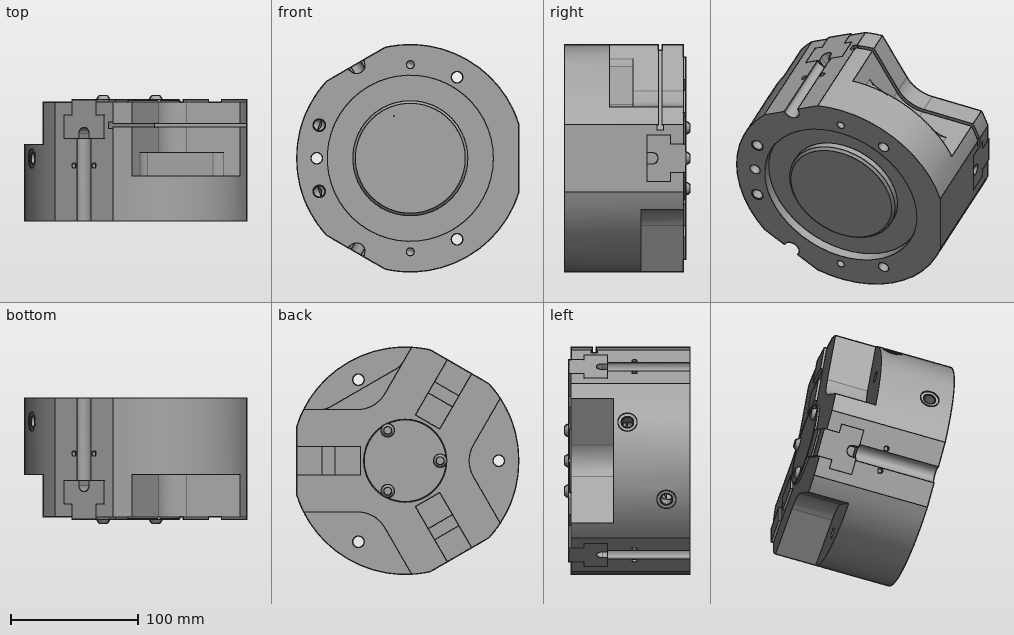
import cadquery as cq
import math


body_radius = 89.0
body_length = 93.0
flat_distance = 85.0
jaw_angles = (0, 120, 240)

arm_half_width = 40.0
notch_half_angle = 60.0
notch_root_radius = 25.0
notch_floor = 60.0
plain_notch_angles = (180, 300)
deep_notch_angle = 60
deep_notch_step = 53.5
pocket_floor = 35.3
pocket_wall_distance = 65.75
pocket_corner_radius = 16.0

slot_centre = 75.0
slot_width = 3.0
slot_wide_width = 4.8
slot_bottom_offset = 22.0
slot_wide_depth = 4.0

recess_radius = 65.0
recess_depth = 8.0
boss_radius = 45.0
boss_chamfer = 2.0
boss_setback = 1.0

drill_point_angle = 118.0
hole_circle_radius = 73.2
through_hole_diameter = 8.8
through_hole_angles = (60, 180, 300)
dowel_diameter = 6.2
dowel_depth = 12.0
dowel_angles = (90, 270)

port_diameter = 8.8
port_mouth_chamfer = 0.5
port_circle_radius = 75.8
port_spotface_diameter = 15.0
port_spotface_depth = 1.0
ports = ((160, 49.0), (200, 18.5))

groove_angles = (120, 240)
groove_radius = 6.5
groove_circle_radius = 84.0
clamp_hole_diameter = 4.0
clamp_hole_depth = 6.0
clamp_hole_spacing = 18.0
clamp_hole_y = 43.5

jaw_inner = 35.0
jaw_front = 64.6
jaw_shoulder = 82.8
jaw_back = 95.0
jaw_wide_width = 36.0
jaw_narrow_width = 22.0
key_groove_inner = 55.0
key_groove_width = 10.0
cam_slot_width = 9.0
cam_slot_centre = 68.7
cam_slot_depth = 20.0

cover_radius = 32.5
cover_chamfer = 0.5
screw_circle_radius = 27.4
screw_angles = (60, 180, 300)
screw_head_radius = 5.25
screw_mid_radius = 4.4
screw_top_radius = 3.0
screw_head_top = 98.3

past_rim = 2 * body_radius


def section_plane(y):
    """Plane across the axis at height y, with local x along X and local y along Z."""
    return cq.Workplane("XZ", origin=(0, y, 0))


def turned(shape, angle):
    """Turn a shape about the axis from the +X direction to the given angle."""
    return shape.rotate((0, 0, 0), (0, 1, 0), -angle)


def axial_cylinder(radius, y_start, y_end, distance=0.0):
    return section_plane(y_start).center(distance, 0).circle(radius).extrude(y_start - y_end)


def radial_cylinder(diameter, x_start, depth, y, z=0.0):
    """Cylinder that runs inward along -X from x_start."""
    plane = cq.Workplane("YZ", origin=(x_start, y, z))
    return plane.circle(diameter / 2).extrude(-depth)


def wedge(offset, y_start, y_end):
    """V between two arms, with its flanks at the given offset from the arm centre planes."""
    half_angle = math.radians(notch_half_angle)
    apex = offset / math.sin(half_angle)
    half_opening = (past_rim - apex) * math.tan(half_angle)
    outline = [(apex, 0), (past_rim, -half_opening), (past_rim, half_opening)]
    return section_plane(y_start).polyline(outline).close().extrude(y_start - y_end)


def notch(floor):
    cutter = wedge(arm_half_width, floor, body_length)
    return cutter.edges("|Y").edges("<X").fillet(notch_root_radius)


def deep_pocket():
    """Lower stage of the deep notch: the same V, cut off by a flat wall with rounded corners."""
    height = deep_notch_step - pocket_floor
    outer_block = (
        section_plane(pocket_floor)
        .rect(2 * (past_rim - pocket_wall_distance), 4 * past_rim)
        .extrude(-height)
        .translate((past_rim, 0, 0))
    )
    pocket = wedge(arm_half_width, pocket_floor, deep_notch_step).intersect(outer_block)
    return pocket.edges("|Y").edges("<X").fillet(pocket_corner_radius)


def flank_slots():
    def layer(offset, width):
        return wedge(offset, slot_centre - width / 2, slot_centre + width / 2)

    wide_layer = layer(slot_bottom_offset, slot_wide_width).cut(
        layer(slot_bottom_offset + slot_wide_depth, slot_wide_width)
    )
    return layer(slot_bottom_offset, slot_width).union(wide_layer)


def jaw_blank():
    """T-section guide that runs from jaw_inner out to the flat."""
    half_wide = jaw_wide_width / 2
    half_narrow = jaw_narrow_width / 2
    outline = [
        (jaw_front, half_wide),
        (jaw_shoulder, half_wide),
        (jaw_shoulder, half_narrow),
        (jaw_back, half_narrow),
        (jaw_back, -half_narrow),
        (jaw_shoulder, -half_narrow),
        (jaw_shoulder, -half_wide),
        (jaw_front, -half_wide),
    ]
    plane = cq.Workplane("YZ", origin=(jaw_inner, 0, 0))
    return plane.polyline(outline).close().extrude(flat_distance - jaw_inner)


def jaw():
    """Jaw with a cross groove in its back face and a round-ended slot in its outer face."""
    key_groove = cq.Workplane("XY").box(
        key_groove_width, jaw_back - body_length, jaw_narrow_width, centered=(False, False, True)
    ).translate((key_groove_inner, body_length, 0))
    slot_length = cam_slot_centre - jaw_front
    cam_slot = cq.Workplane("XY").box(
        cam_slot_depth, slot_length, cam_slot_width, centered=(False, False, True)
    ).translate((flat_distance - cam_slot_depth, jaw_front, 0))
    slot_end = radial_cylinder(cam_slot_width, flat_distance, cam_slot_depth, cam_slot_centre)
    return jaw_blank().cut(key_groove).cut(cam_slot).cut(slot_end)


def body_blank():
    """Round body with a flat at each jaw."""
    body = axial_cylinder(body_radius, 0, body_length)
    side = 2 * body_radius
    for angle in jaw_angles:
        beyond_flat = cq.Workplane("XY").box(side, side, side, centered=(False, True, True))
        body = body.cut(turned(beyond_flat.translate((flat_distance, body_length / 2, 0)), angle))
    return body


def boss():
    blank = axial_cylinder(boss_radius, boss_setback, recess_depth)
    return blank.faces("<Y").chamfer(boss_chamfer)


def drilled_hole(diameter, depth, mouth_chamfer=0.0):
    """Blind hole along +Y from the origin, with a drill-point end beyond its full depth."""
    radius = diameter / 2
    tip = depth + radius / math.tan(math.radians(drill_point_angle / 2))
    profile = [(0, 0), (radius, 0), (radius, depth), (0, tip)]
    hole = cq.Workplane("XY").polyline(profile).close().revolve(360, (0, 0, 0), (0, 1, 0))
    if mouth_chamfer > 0:
        mouth_profile = [(0, 0), (radius + mouth_chamfer, 0), (0, radius + mouth_chamfer)]
        mouth = cq.Workplane("XY").polyline(mouth_profile).close().revolve(360, (0, 0, 0), (0, 1, 0))
        hole = hole.union(mouth)
    return hole


def air_port(radial_y):
    """Axial bore from the front face and a spotfaced radial bore that crosses it."""
    spotface_floor = body_radius - port_spotface_depth
    axial_bore = drilled_hole(port_diameter, radial_y, port_mouth_chamfer)
    axial_bore = axial_bore.translate((port_circle_radius, 0, 0))
    radial_bore = (
        drilled_hole(port_diameter, spotface_floor - port_circle_radius, port_mouth_chamfer)
        .rotate((0, 0, 0), (0, 0, 1), 90)
        .translate((spotface_floor, radial_y, 0))
    )
    spotface = radial_cylinder(port_spotface_diameter, body_radius, port_spotface_depth, radial_y)
    return axial_bore.union(radial_bore).union(spotface)


def groove_and_holes():
    """Groove from the front face up to the jaw, with a small hole on each side of it."""
    groove_mouth = cq.Workplane("XY").box(
        body_radius - groove_circle_radius, jaw_front, 2 * groove_radius, centered=(False, False, True)
    ).translate((groove_circle_radius, 0, 0))
    cut = axial_cylinder(groove_radius, 0, jaw_front, groove_circle_radius).union(groove_mouth)
    for side in (-1, 1):
        z = side * clamp_hole_spacing / 2
        cut = cut.union(
            radial_cylinder(clamp_hole_diameter, flat_distance, clamp_hole_depth, clamp_hole_y, z)
        )
    return cut


def cover():
    disc = axial_cylinder(cover_radius, body_length, jaw_back)
    return disc.faces(">Y").edges().chamfer(cover_chamfer)


def screw_head():
    """Domed button head."""
    height = screw_head_top - jaw_back
    mid_point = (screw_mid_radius, jaw_back + height / 2)
    head = (
        cq.Workplane("XY")
        .moveTo(0, body_length)
        .lineTo(screw_head_radius, body_length)
        .lineTo(screw_head_radius, jaw_back)
        .threePointArc(mid_point, (screw_top_radius, screw_head_top))
        .lineTo(0, screw_head_top)
        .close()
        .revolve(360, (0, 0, 0), (0, 1, 0))
    )
    return head.translate((screw_circle_radius, 0, 0))


def build_housing():
    body = body_blank()

    for angle in plain_notch_angles:
        body = body.cut(turned(notch(notch_floor), angle))
    for cutter in (notch(deep_notch_step), deep_pocket(), flank_slots()):
        body = body.cut(turned(cutter, deep_notch_angle))

    body = body.cut(axial_cylinder(recess_radius, 0, recess_depth)).union(boss())

    through_hole = axial_cylinder(through_hole_diameter / 2, 0, body_length, hole_circle_radius)
    for angle in through_hole_angles:
        body = body.cut(turned(through_hole, angle))
    dowel_hole = drilled_hole(dowel_diameter, dowel_depth).translate((hole_circle_radius, 0, 0))
    for angle in dowel_angles:
        body = body.cut(turned(dowel_hole, angle))
    for angle, radial_y in ports:
        body = body.cut(turned(air_port(radial_y), angle))
    for angle in jaw_angles:
        body = body.cut(turned(jaw_blank(), angle))
    for angle in groove_angles:
        body = body.cut(turned(groove_and_holes(), angle))

    body = body.union(cover())
    for angle in screw_angles:
        body = body.union(turned(screw_head(), angle))
    return body


housing = build_housing()
jaws = [turned(jaw(), angle) for angle in jaw_angles]

bodies = [housing, *jaws]
result = cq.Compound.makeCompound([body.solids().val() for body in bodies])